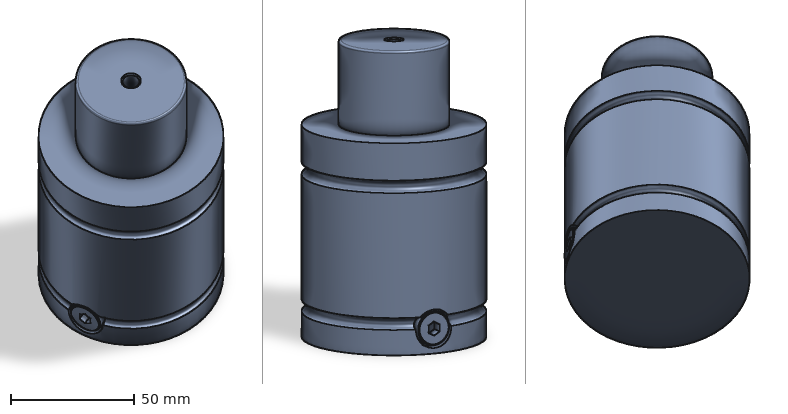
import cadquery as cq
import math

total_height = 123.0
body_diameter = 75.0
body_radius = body_diameter / 2
body_height = 88.0
rod_diameter = 45.0
rod_edge_fillet = 1.0

upper_groove_radius = 2.6
upper_groove_height = 69.9
lower_groove_radius = 2.5
lower_groove_height = 13.0

tap_diameter = 6.8
tap_mouth_diameter = 8.0
tap_depth = 19.7
drill_point_angle = 118.0

port_height = 10.3
port_diameter = 16.0
port_floor_radius = 32.6
plug_face_radius = 37.1
plug_diameter = 14.0
plug_chamfer = 0.5
hex_across_flats = 5.0
hex_depth = 5.0


def make_groove(section_radius, height):
    ring = cq.Solid.makeTorus(body_radius, section_radius, cq.Vector(0, 0, height))
    return cq.Workplane(obj=ring)


def make_body():
    body = cq.Workplane("XY").circle(body_radius).extrude(body_height)
    body = body.cut(make_groove(upper_groove_radius, upper_groove_height))
    return body.cut(make_groove(lower_groove_radius, lower_groove_height))


def make_rod():
    rod = cq.Workplane("XY").circle(rod_diameter / 2).extrude(total_height)
    return rod.faces(">Z").edges().fillet(rod_edge_fillet)


def make_tapped_hole():
    """Drilled hole with a 45 degree countersink and a conical bottom."""
    tap_radius = tap_diameter / 2
    mouth_radius = tap_mouth_diameter / 2
    countersink_depth = mouth_radius - tap_radius
    point_length = tap_radius / math.tan(math.radians(drill_point_angle / 2))
    bottom = total_height - tap_depth
    return (
        cq.Workplane("XZ")
        .moveTo(0, total_height)
        .lineTo(mouth_radius, total_height)
        .lineTo(tap_radius, total_height - countersink_depth)
        .lineTo(tap_radius, bottom)
        .lineTo(0, bottom - point_length)
        .close()
        .revolve(360, (0, 0), (0, 1))
    )


def port_plane(distance):
    """Sketch plane on the port axis, facing -Y at a distance from the body axis."""
    return cq.Workplane("XZ", origin=(0, -distance, port_height))


def add_port(body):
    """Flat-bottomed bore with a chamfered plug standing in it, leaving a ring-shaped gap."""
    floor = port_plane(port_floor_radius)
    bore = floor.circle(port_diameter / 2).extrude(body_radius)
    plug = floor.circle(plug_diameter / 2).extrude(plug_face_radius - port_floor_radius)
    plug = plug.faces("<Y").chamfer(plug_chamfer)
    hex_circumscribed = hex_across_flats / math.cos(math.radians(30))
    socket = (
        port_plane(plug_face_radius)
        .transformed(rotate=(0, 0, 90))
        .polygon(6, hex_circumscribed)
        .extrude(-hex_depth)
    )
    return body.cut(bore).union(plug).cut(socket)


result = add_port(make_body()).union(make_rod()).cut(make_tapped_hole())